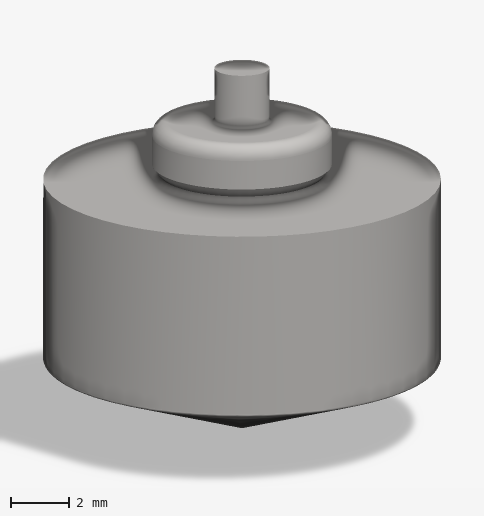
import cadquery as cq
import math

base_radius = 6.85
base_top = 8.96
cone_angle = math.radians(20)
base_edge_fillet = 0.1

overall_height = 12.96
knob_radius = 6.2 / 2
knob_height = 2.1
knob_edge_fillet = 0.51
neck_radius = 2.85
foot_fillet = 0.23
undercut_height = 0.33
pin_radius = 1.9 / 2
pin_fillet = 0.1


def make_base():
    cone_height = base_radius * math.tan(cone_angle)
    base = (
        cq.Workplane("XZ")
        .lineTo(base_radius, cone_height)
        .lineTo(base_radius, base_top)
        .lineTo(0, base_top)
        .close()
        .revolve(360, (0, 0, 0), (0, 1, 0))
    )
    return base.edges("%CIRCLE").edges("<Z").fillet(base_edge_fillet)


def make_knob():
    knob_top = base_top + knob_height
    neck_top = base_top + foot_fillet
    rim_bottom = neck_top + undercut_height
    return (
        cq.Workplane("XZ")
        .moveTo(0, base_top)
        .lineTo(neck_radius + foot_fillet, base_top)
        .radiusArc((neck_radius, neck_top), foot_fillet)
        .lineTo(knob_radius, rim_bottom)
        .lineTo(knob_radius, knob_top - knob_edge_fillet)
        .radiusArc((knob_radius - knob_edge_fillet, knob_top), -knob_edge_fillet)
        .lineTo(pin_radius + pin_fillet, knob_top)
        .radiusArc((pin_radius, knob_top + pin_fillet), pin_fillet)
        .lineTo(pin_radius, overall_height)
        .lineTo(0, overall_height)
        .close()
        .revolve(360, (0, 0, 0), (0, 1, 0))
    )


base = make_base()
knob = make_knob()
result = cq.Compound.makeCompound([base.val(), knob.val()])